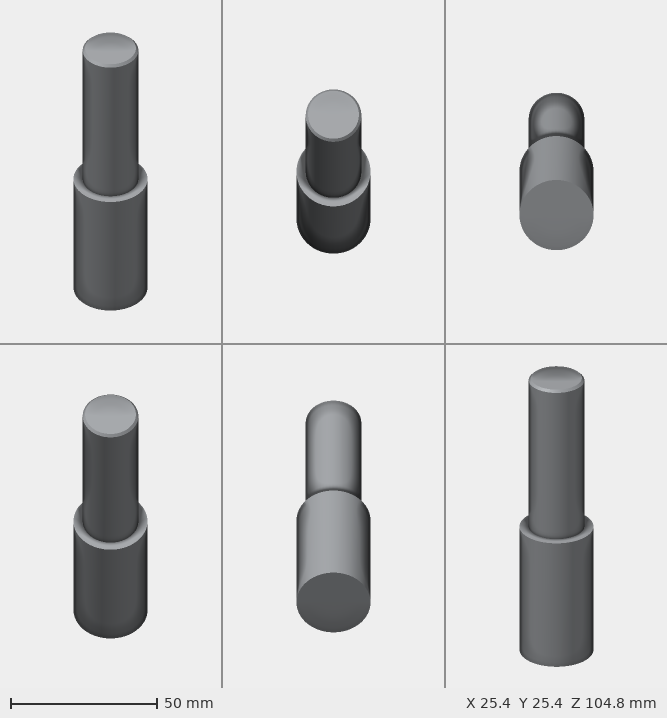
import cadquery as cq

total_length = 104.8
sleeve_length = 47.6
sleeve_diameter = 25.4
pin_diameter = 19.1
pin_chamfer = 0.8


def make_pin():
    """Round pin running the full length, chamfered at its top end."""
    return (
        cq.Workplane("XY")
        .circle(pin_diameter / 2)
        .extrude(total_length)
        .faces(">Z")
        .chamfer(pin_chamfer)
    )


def make_sleeve():
    """Plain sleeve fitted around the lower end of the pin."""
    return (
        cq.Workplane("XY")
        .circle(sleeve_diameter / 2)
        .circle(pin_diameter / 2)
        .extrude(sleeve_length)
    )


pin = make_pin()
sleeve = make_sleeve()

result = cq.Compound.makeCompound([pin.val(), sleeve.val()])